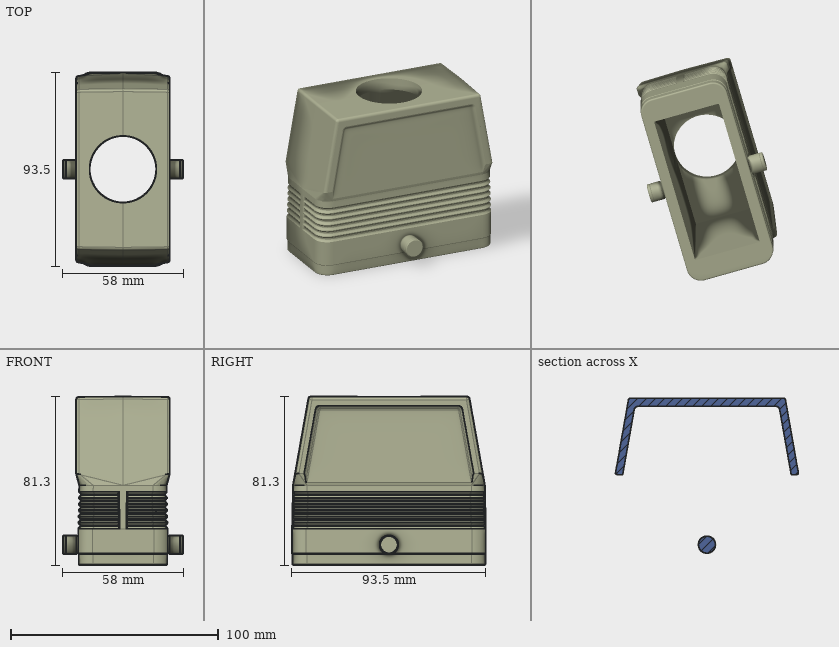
import cadquery as cq

LENGTH = 93.5
BASE_HALF_X = 21.6
BASE_HALF_Y = LENGTH / 2
BASE_CORNER = 6.7
SKIRT_INSET = 0.2
SKIRT_CORNER = BASE_CORNER + SKIRT_INSET
SKIRT_STEP = 0.4
BOTTOM_FILLET = 0.75
BODY_DRAFT = 0.5

SKIRT_Z = 5.2
BODY_Z = SKIRT_Z + SKIRT_STEP
SHOULDER_Z = 38.5
HOOD_Z = 44.1
TOP_Z = 81.25

SHOULDER_HALF_X = BASE_HALF_X - BODY_DRAFT
SHOULDER_HALF_Y = BASE_HALF_Y - BODY_DRAFT
SHOULDER_CORNER = BASE_CORNER

HOOD_HALF_X = 22.6
HOOD_TOP_HALF_Y = 38.7
HOOD_FILLET = 1.4
END_RIDGE = 0.4
ROOF_RIDGE = 0.2
END_SLOPE = (SHOULDER_HALF_Y - HOOD_TOP_HALF_Y) / (TOP_Z - SHOULDER_Z)

PANEL_DEPTH = 1.1
PANEL_TOP_Z = 75.3
PANEL_TOP_HALF_Y = 33.8
PANEL_WALL_ANGLE = 50.0
PANEL_LIP_ANGLE = 68.0
PANEL_LIP_DEPTH = 0.2
PANEL_CORNER = 0.75
PANEL_FLOOR_FILLET = 1.0

GROOVE_COUNT = 6
GROOVE_BOTTOM_Z = 17.6
GROOVE_TOP_Z = 35.25
GROOVE_LAND = 0.3
GROOVE_PITCH = (GROOVE_TOP_Z - GROOVE_BOTTOM_Z + GROOVE_LAND) / GROOVE_COUNT
GROOVE_DEPTH = 0.9
GROOVE_FLANK = 1.0
WEB_HALF = 1.5
WEB_FLARE = 0.75

PIN_REACH = 29.0
PIN_ROOT = 18.7
PIN_DIAMETER = 9.1
PIN_RADIUS = PIN_DIAMETER / 2
PIN_Z = 9.8
PIN_CHAMFER = 0.4
PIN_RING = 27.5
PIN_RING_SIZE = 0.2
NECK_END = 22.4
NECK_RADIUS = 4.2

HOLE_DIAMETER = 32.0
CAVITY_TOP_Z = 75.3
CAVITY_TOP_HALF_X = 15.7
CAVITY_TOP_HALF_Y = 35.1
CAVITY_DRAFT = 0.4


def ruled_stack(sections):
    """Straight-sided solid through rounded rectangles given as (z, half_x, half_y, corner)."""
    outlines = []
    for z, half_x, half_y, corner in sections:
        outline = cq.Sketch().rect(2 * half_x, 2 * half_y).vertices().fillet(corner)
        outlines.append(outline.moved(cq.Location(cq.Vector(0, 0, z))))
    return cq.Workplane("XY").placeSketch(*outlines).loft(ruled=True)


def body_section(z, depth=0.0):
    """Body section at height z, sunk by depth; upright below the grooves and drafted above."""
    lean = BODY_DRAFT * max(0, z - GROOVE_BOTTOM_Z) / (SHOULDER_Z - GROOVE_BOTTOM_Z)
    inset = lean + depth
    return (z, BASE_HALF_X - inset, BASE_HALF_Y - inset, BASE_CORNER)


def make_skirt():
    """Bottom rim, set slightly inside the body and joined to it by a small step."""
    section = (BASE_HALF_X - SKIRT_INSET, BASE_HALF_Y - SKIRT_INSET, SKIRT_CORNER)
    skirt = ruled_stack([(0, *section), (SKIRT_Z, *section)])
    skirt = skirt.faces("<Z").edges().fillet(BOTTOM_FILLET)
    step = ruled_stack([(SKIRT_Z, *section), body_section(BODY_Z)])
    return skirt.union(step)


def make_ribbed_body():
    """Body from the rim to the shoulder with its trapezoidal grip grooves."""
    sections = [body_section(BODY_Z)]
    for index in range(GROOVE_COUNT):
        low = GROOVE_BOTTOM_Z + index * GROOVE_PITCH
        high = low + GROOVE_PITCH - GROOVE_LAND
        sections += [
            body_section(low),
            body_section(low + GROOVE_FLANK, GROOVE_DEPTH),
            body_section(high - GROOVE_FLANK, GROOVE_DEPTH),
            body_section(high),
        ]
    sections.append(body_section(SHOULDER_Z))
    return ruled_stack(sections)


def make_end_webs():
    """Plain vertical strips that interrupt the grooves in the middle of both end walls."""
    plain_body = ruled_stack([body_section(GROOVE_BOTTOM_Z), body_section(SHOULDER_Z)])
    root_y = BASE_HALF_Y - 2 * GROOVE_DEPTH
    root_half = WEB_HALF + 2 * WEB_FLARE
    outline = [
        (-WEB_HALF, BASE_HALF_Y),
        (WEB_HALF, BASE_HALF_Y),
        (root_half, root_y),
        (-root_half, root_y),
    ]
    web = cq.Workplane("XY").polyline(outline).close().extrude(SHOULDER_Z)
    return plain_body.intersect(web.union(web.mirror("XZ")))


def make_flare():
    """Transition from the rounded body section to the wider, sharper hood section."""
    top_half_y = SHOULDER_HALF_Y - END_SLOPE * (HOOD_Z - SHOULDER_Z) - END_RIDGE
    return ruled_stack([
        (SHOULDER_Z, SHOULDER_HALF_X, SHOULDER_HALF_Y, SHOULDER_CORNER),
        (HOOD_Z, HOOD_HALF_X, top_half_y, HOOD_FILLET),
    ])


def hood_outline(half_y):
    """Six-sided plan with both ends peaked along the middle seam."""
    side_y = half_y - END_RIDGE
    return [
        (0, half_y),
        (HOOD_HALF_X, side_y),
        (HOOD_HALF_X, -side_y),
        (0, -half_y),
        (-HOOD_HALF_X, -side_y),
        (-HOOD_HALF_X, side_y),
    ]


def front_prism(points):
    """Prism along Y longer than the part, from points in X and Z."""
    return cq.Workplane("XZ").polyline(points).close().extrude(LENGTH, both=True)


def needs_rounding(middle):
    """True for a hood edge on a long side or along a roof end, by its middle point."""
    on_side = abs(middle.x) > HOOD_HALF_X - HOOD_FILLET and middle.z > SHOULDER_Z + HOOD_FILLET
    on_roof_end = abs(middle.y) > HOOD_TOP_HALF_Y / 2 and middle.z > TOP_Z - HOOD_FILLET
    return on_side or on_roof_end


def make_hood():
    """Upper hood with ridged ends and roof; its end walls run down to a point at the shoulder."""
    hood = (
        cq.Workplane("XY", origin=(0, 0, SHOULDER_Z))
        .polyline(hood_outline(SHOULDER_HALF_Y)).close()
        .workplane(offset=TOP_Z - SHOULDER_Z)
        .polyline(hood_outline(HOOD_TOP_HALF_Y)).close()
        .loft(ruled=True)
    )
    eave_z = TOP_Z - ROOF_RIDGE
    roof = [
        (-HOOD_HALF_X, 0),
        (HOOD_HALF_X, 0),
        (HOOD_HALF_X, eave_z),
        (0, TOP_Z),
        (-HOOD_HALF_X, eave_z),
    ]
    hood = hood.intersect(front_prism(roof))
    rounded = [edge for edge in hood.edges().vals() if needs_rounding(edge.Center())]
    hood = hood.newObject(rounded).fillet(HOOD_FILLET)
    chevron = [
        (0, SHOULDER_Z),
        (HOOD_HALF_X, HOOD_Z),
        (HOOD_HALF_X, TOP_Z),
        (-HOOD_HALF_X, TOP_Z),
        (-HOOD_HALF_X, HOOD_Z),
    ]
    return hood.intersect(front_prism(chevron))


def make_panel_cutter():
    """Cutter for the +X side panel: rounded floor, sloped wall and a shallow lip at the rim."""
    floor_x = HOOD_HALF_X - PANEL_DEPTH
    bottom_half_y = PANEL_TOP_HALF_Y + END_SLOPE * (PANEL_TOP_Z - SHOULDER_Z)
    outline = [
        (-bottom_half_y, SHOULDER_Z),
        (bottom_half_y, SHOULDER_Z),
        (PANEL_TOP_HALF_Y, PANEL_TOP_Z),
        (-PANEL_TOP_HALF_Y, PANEL_TOP_Z),
    ]
    floor = cq.Sketch().polygon(outline + outline[:1]).vertices().fillet(PANEL_CORNER)
    cutter = (
        cq.Workplane("YZ", origin=(floor_x, 0, 0))
        .placeSketch(floor)
        .extrude(PANEL_DEPTH - PANEL_LIP_DEPTH, taper=-PANEL_WALL_ANGLE)
    )
    lip = (
        cutter.faces(">X").wires().toPending()
        .workplane()
        .extrude(2 * PANEL_LIP_DEPTH, taper=-PANEL_LIP_ANGLE, combine=False)
    )
    return cutter.faces("<X").edges().fillet(PANEL_FLOOR_FILLET).union(lip)


def make_pin():
    """Locking pin along +X with an undercut neck, a ring groove and a chamfered tip."""
    ring_floor = PIN_RADIUS - PIN_RING_SIZE
    profile = [
        (PIN_ROOT, 0),
        (PIN_ROOT, NECK_RADIUS),
        (NECK_END, NECK_RADIUS),
        (NECK_END, PIN_RADIUS),
        (PIN_RING - PIN_RING_SIZE, PIN_RADIUS),
        (PIN_RING, ring_floor),
        (PIN_RING + PIN_RING_SIZE, PIN_RADIUS),
        (PIN_REACH - PIN_CHAMFER, PIN_RADIUS),
        (PIN_REACH, PIN_RADIUS - PIN_CHAMFER),
        (PIN_REACH, 0),
    ]
    pin = cq.Workplane("XY").polyline(profile).close().revolve(360, (0, 0, 0), (1, 0, 0))
    return pin.translate((0, 0, PIN_Z))


def make_cavity():
    """Drafted pocket, open at the bottom."""
    return (
        cq.Workplane("XY", origin=(0, 0, CAVITY_TOP_Z))
        .rect(2 * CAVITY_TOP_HALF_X, 2 * CAVITY_TOP_HALF_Y)
        .extrude(-CAVITY_TOP_Z, taper=-CAVITY_DRAFT)
    )


body = make_skirt().union(make_ribbed_body()).union(make_end_webs())
body = body.union(make_flare()).union(make_hood())

panel = make_panel_cutter()
pin = make_pin()
body = body.cut(panel).cut(panel.mirror("YZ"))
body = body.union(pin).union(pin.mirror("YZ"))

hole = cq.Workplane("XY").circle(HOLE_DIAMETER / 2).extrude(TOP_Z)
result = body.cut(make_cavity()).cut(hole)